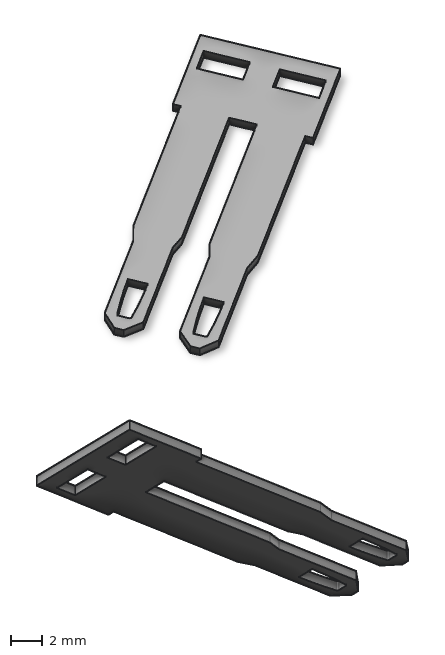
import cadquery as cq
import math

width = 9.4
length = 24.6
thickness = 0.7

head_length = 5.95
window_width = 3.1
window_height = 1.5
window_top_margin = 1.2

leg_pitch = 5.1
leg_width = 3.25

shoulder_height = 8.36
shank_outer_half_width = 1.27
shank_inner_half_width = 1.32
outer_taper_length = 1.18
inner_taper_length = 0.97
point_height = 0.98
point_flat = 0.64

eye_bottom_height = 1.04
eye_top_height = 4.09
eye_top_width = 1.34
eye_side_radius = 23.0
eye_corner_radius = 0.1

top_y = length / 2
tip_y = -length / 2
head_bottom_y = top_y - head_length
bottom_z = -thickness / 2
window_center_y = top_y - window_top_margin - window_height / 2


def extrude_outline(points):
    return (
        cq.Workplane("XY")
        .workplane(offset=bottom_z)
        .polyline(points)
        .close()
        .extrude(thickness)
    )


def make_head():
    center_y = top_y - head_length / 2
    return cq.Workplane("XY").box(width, head_length, thickness).translate((0, center_y, 0))


def make_leg(side):
    """Pointed leg; side is -1 for the left leg and +1 for the right leg."""
    shoulder_y = tip_y + shoulder_height
    point_y = tip_y + point_height
    outward_profile = [
        (leg_width / 2, head_bottom_y),
        (leg_width / 2, shoulder_y),
        (shank_outer_half_width, shoulder_y - outer_taper_length),
        (shank_outer_half_width, point_y),
        (point_flat / 2, tip_y),
        (-point_flat / 2, tip_y),
        (-shank_inner_half_width, point_y),
        (-shank_inner_half_width, shoulder_y - inner_taper_length),
        (-leg_width / 2, shoulder_y),
        (-leg_width / 2, head_bottom_y),
    ]
    return extrude_outline([(side * (leg_pitch / 2 + x), y) for x, y in outward_profile])


def make_window(side):
    window = cq.Workplane("XY").box(window_width, window_height, thickness)
    return window.translate((side * leg_pitch / 2, window_center_y, 0))


def eye_half_width(depth):
    """Half width at a depth below the eye's top edge, where the arc sides start parallel."""
    inset = eye_side_radius - math.sqrt(eye_side_radius**2 - depth**2)
    return eye_top_width / 2 - inset


def make_eye(side):
    """Opening whose arc sides close in towards the tip, with rounded lower corners."""
    top = tip_y + eye_top_height
    depth = eye_top_height - eye_bottom_height
    top_half = eye_half_width(0)
    middle_half = eye_half_width(depth / 2)
    bottom_half = eye_half_width(depth)
    middle = top - depth / 2
    bottom = top - depth
    eye = (
        cq.Workplane("XY")
        .workplane(offset=bottom_z)
        .moveTo(-top_half, top)
        .lineTo(top_half, top)
        .threePointArc((middle_half, middle), (bottom_half, bottom))
        .lineTo(-bottom_half, bottom)
        .threePointArc((-middle_half, middle), (-top_half, top))
        .close()
        .extrude(thickness)
    )
    eye = eye.faces("<Y").edges("|Z").fillet(eye_corner_radius)
    return eye.translate((side * leg_pitch / 2, 0, 0))


result = make_head()
for side in (-1, 1):
    result = result.union(make_leg(side))
for side in (-1, 1):
    result = result.cut(make_window(side)).cut(make_eye(side))
result = result.clean()